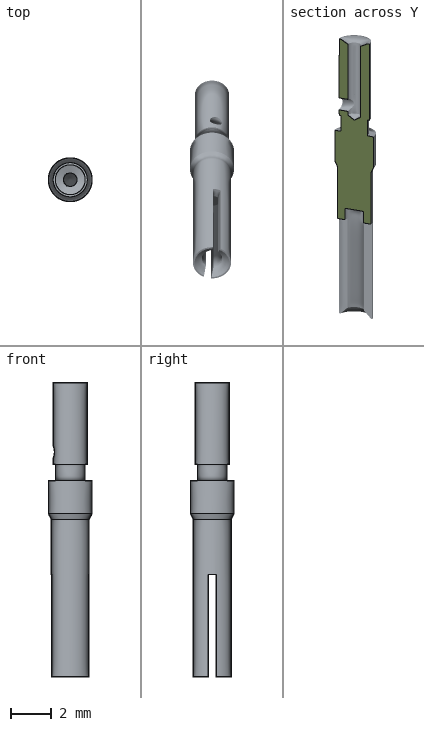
import cadquery as cq
import math

total_length = 14.4
barrel_diameter = 1.67
barrel_length = 4.0
neck_diameter = 1.46
neck_length = 0.8
collar_diameter = 2.15
collar_length = 1.6
collar_chamfer_inset = 0.15
collar_chamfer_height = 0.3
socket_diameter = 1.86

wire_hole_diameter = 0.66
wire_hole_depth = 3.9
wire_mouth_diameter = 1.46
wire_mouth_half_angle = 63.0
drill_half_angle = 59.0

inspection_diameter = 0.6
inspection_drop = 3.4

pin_hole_diameter = 1.0
pin_hole_depth = 5.6
pin_mouth_diameter = 1.7
pin_mouth_half_angle = 45.0
slot_width = 0.38
slot_length = 5.0

barrel_bottom = total_length - barrel_length
neck_bottom = barrel_bottom - neck_length
collar_bottom = neck_bottom - collar_length
socket_top = collar_bottom - collar_chamfer_height


def cone_height(large_diameter, small_diameter, half_angle):
    """Height of a cone between two diameters, from its half angle in degrees."""
    return (large_diameter - small_diameter) / 2 / math.tan(math.radians(half_angle))


def revolve_profile(points):
    """Solid of revolution about Z from (radius, height) points."""
    return cq.Workplane("XZ").polyline(points).close().revolve(360, (0, 0), (0, 1))


def make_body():
    chamfer_radius = collar_diameter / 2 - collar_chamfer_inset
    return revolve_profile([
        (0, 0),
        (socket_diameter / 2, 0),
        (socket_diameter / 2, socket_top),
        (chamfer_radius, socket_top),
        (collar_diameter / 2, collar_bottom),
        (collar_diameter / 2, neck_bottom),
        (neck_diameter / 2, neck_bottom),
        (neck_diameter / 2, barrel_bottom),
        (barrel_diameter / 2, barrel_bottom),
        (barrel_diameter / 2, total_length),
        (0, total_length),
    ])


def make_wire_hole():
    """Countersunk hole with a drill point at its blind end."""
    mouth_height = cone_height(wire_mouth_diameter, wire_hole_diameter, wire_mouth_half_angle)
    point_height = cone_height(wire_hole_diameter, 0, drill_half_angle)
    hole_bottom = total_length - wire_hole_depth
    return revolve_profile([
        (0, total_length),
        (wire_mouth_diameter / 2, total_length),
        (wire_hole_diameter / 2, total_length - mouth_height),
        (wire_hole_diameter / 2, hole_bottom),
        (0, hole_bottom - point_height),
    ])


def make_pin_hole():
    """Flat-bottomed hole with a flared mouth."""
    mouth_height = cone_height(pin_mouth_diameter, pin_hole_diameter, pin_mouth_half_angle)
    return revolve_profile([
        (0, 0),
        (pin_mouth_diameter / 2, 0),
        (pin_hole_diameter / 2, mouth_height),
        (pin_hole_diameter / 2, pin_hole_depth),
        (0, pin_hole_depth),
    ])


def make_inspection_hole():
    """Radial drilling from the axis out through the -X side."""
    return (
        cq.Workplane("YZ")
        .center(0, total_length - inspection_drop)
        .circle(inspection_diameter / 2)
        .extrude(-barrel_diameter)
    )


def make_slot():
    """Slot along X through both sides of the socket."""
    return cq.Workplane("XY").box(
        collar_diameter, slot_width, slot_length, centered=(True, True, False)
    )


result = (
    make_body()
    .cut(make_wire_hole())
    .cut(make_pin_hole())
    .cut(make_inspection_hole())
    .cut(make_slot())
)